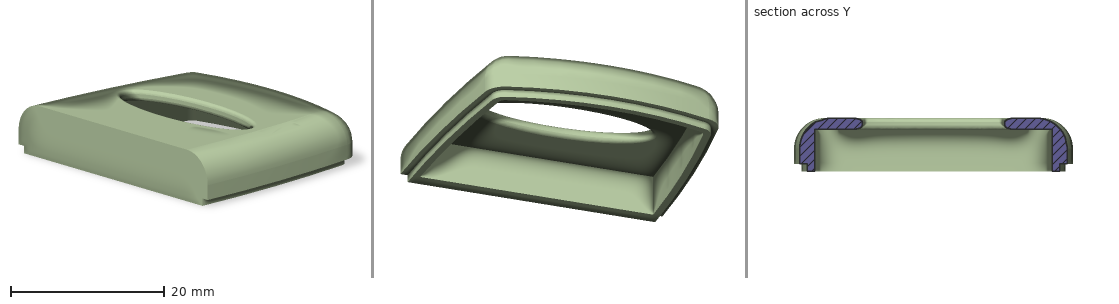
import cadquery as cq
import math

WIDTH = 36.4
DEPTH = 31.07
HEIGHT = 7.0

SIDE_RADIUS = 177.0
BACK_RADIUS = 50.0
CORNER_RADIUS = 3.0

TOP_FILLET = 4.0
LIP_HEIGHT = 1.0
LIP_INSET = 1.0

WALL = 2.0
FRONT_WALL = 2.0
ROOF = 1.5

WINDOW_HALF_WIDTH = 12.0
WINDOW_HALF_DEPTH = 4.0
WINDOW_Y = 13.0
WINDOW_FILLET = 0.5
RIM_MARGIN = 0.1


def side_x(y, inset):
    """Half width at y of the outline moved inward by inset."""
    radius = SIDE_RADIUS - inset
    return WIDTH / 2 - SIDE_RADIUS + math.sqrt(radius**2 - y**2)


def back_corner(inset):
    """Point where the right side arc meets the back arc (both moved inward by inset)."""
    side_center_x = WIDTH / 2 - SIDE_RADIUS
    back_center_y = DEPTH - BACK_RADIUS
    side_radius = SIDE_RADIUS - inset
    back_radius = BACK_RADIUS - inset
    distance = math.hypot(side_center_x, back_center_y)
    along = (side_radius**2 - back_radius**2 + distance**2) / (2 * distance)
    across = math.sqrt(side_radius**2 - along**2)
    unit_x = -side_center_x / distance
    unit_y = back_center_y / distance
    x = side_center_x + along * unit_x - across * unit_y
    y = along * unit_y + across * unit_x
    return x, y


def outline_prism(inset, front_y, bottom, height):
    """Prism of the plan outline, inset on the sides and back, starting at front_y."""
    front_x = side_x(front_y, inset)
    corner_x, corner_y = back_corner(inset)
    middle_y = (front_y + corner_y) / 2
    middle_x = side_x(middle_y, inset)
    prism = (
        cq.Workplane("XY", origin=(0, 0, bottom))
        .moveTo(-front_x, front_y)
        .lineTo(front_x, front_y)
        .threePointArc((middle_x, middle_y), (corner_x, corner_y))
        .threePointArc((0, DEPTH - inset), (-corner_x, corner_y))
        .threePointArc((-middle_x, middle_y), (-front_x, front_y))
        .close()
        .extrude(height)
    )
    return prism.edges("|Z").edges(">Y").fillet(CORNER_RADIUS - inset)


def make_body():
    """Solid cover with rounded top edges, standing on the inset lip."""
    cover = outline_prism(0, 0, LIP_HEIGHT, HEIGHT - LIP_HEIGHT)
    cover = cover.faces(">Z").edges("not <Y").fillet(TOP_FILLET)
    lip = outline_prism(LIP_INSET, 0, 0, LIP_HEIGHT)
    return cover.union(lip)


def cut_cavity(body):
    """Hollow the body from below, leaving the walls and roof."""
    return body.cut(outline_prism(WALL, FRONT_WALL, 0, HEIGHT - ROOF))


def cut_window(body):
    """Elliptical opening through the roof, rounded at its upper and lower rims."""
    window = (
        cq.Workplane("XY", origin=(0, WINDOW_Y, HEIGHT - ROOF))
        .ellipse(WINDOW_HALF_WIDTH, WINDOW_HALF_DEPTH)
        .extrude(ROOF)
    )
    reach_x = WINDOW_HALF_WIDTH + RIM_MARGIN
    reach_y = WINDOW_HALF_DEPTH + RIM_MARGIN
    rim_zone = cq.selectors.BoxSelector(
        (-reach_x, WINDOW_Y - reach_y, HEIGHT - ROOF - RIM_MARGIN),
        (reach_x, WINDOW_Y + reach_y, HEIGHT + RIM_MARGIN),
        boundingbox=True,
    )
    return body.cut(window).edges(rim_zone).fillet(WINDOW_FILLET)


result = cut_window(cut_cavity(make_body()))